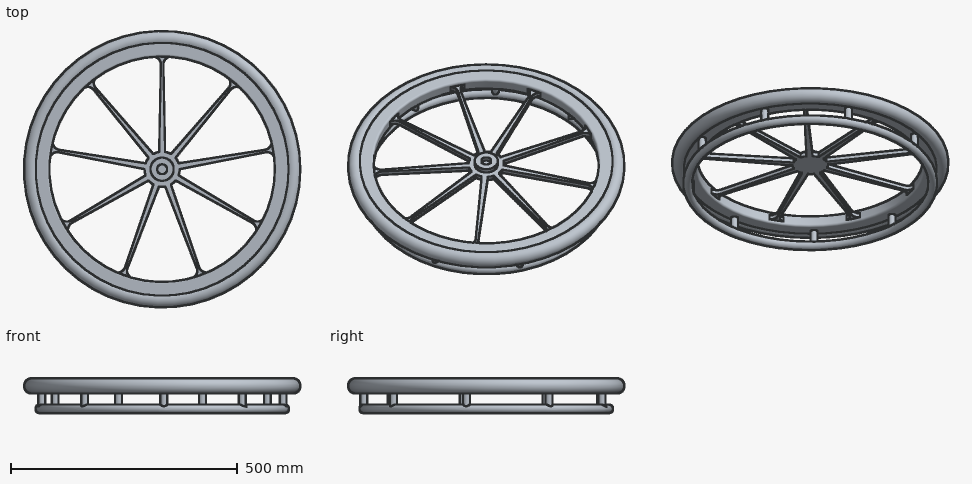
import cadquery as cq
import math

outer_radius = 305.0
tire_section_radius = 17.0
tire_ring_radius = outer_radius - tire_section_radius

rim_edge_radius = 279.0
rim_inner_radius = 248.0
rim_rounding = 5.0
rim_half_height = math.sqrt(tire_section_radius**2 - (tire_ring_radius - rim_edge_radius) ** 2)

plate_radius = 39.0
plate_thickness = 11.0
boss_radius = 25.5
boss_height = 10.5
bore_radius = 11.0

spoke_count = 9
spoke_width_at_hub = 14.0
spoke_width_at_rim = 6.0
flare_radius = 17.0
spoke_root_radius = 30.5
spoke_rim_overlap = 3.0
spoke_angle_step = 360 / spoke_count
first_spoke_angle = 90.0

overall_height = 77.5
push_ring_section_radius = 10.0
push_ring_radius = 270.0
push_ring_z = tire_section_radius - overall_height + push_ring_section_radius
post_radius = 8.0
first_post_angle = -89.2
post_end_rise = 2.0


def torus(ring_radius, section_radius, z):
    solid = cq.Solid.makeTorus(ring_radius, section_radius, cq.Vector(0, 0, z))
    return cq.Workplane("XY").add(solid)


def disc(radius, half_height):
    return cq.Workplane("XY").circle(radius).extrude(half_height, both=True)


def make_rim():
    ring = disc(tire_ring_radius, rim_half_height)
    opening = disc(rim_inner_radius, rim_half_height)
    inner_edges = cq.selectors.RadiusNthSelector(0)
    return ring.cut(opening).edges("%CIRCLE").edges(inner_edges).fillet(rim_rounding)


def make_hub():
    """A round plate with a raised boss; the bore stops at the plate."""
    plate = disc(plate_radius, plate_thickness / 2)
    boss = (
        cq.Workplane("XY", origin=(0, 0, plate_thickness / 2))
        .circle(boss_radius)
        .circle(bore_radius)
        .extrude(boss_height)
    )
    return plate.union(boss)


def make_spoke():
    """One spoke along +X, with a concave round flare on each side at the rim."""
    half_root = spoke_width_at_hub / 2
    half_tip = spoke_width_at_rim / 2
    flare_start = rim_inner_radius - flare_radius
    flare_half_width = half_tip + flare_radius
    flare_sag = flare_radius * (1 - math.sqrt(0.5))
    flare_mid = (rim_inner_radius - flare_sag, half_tip + flare_sag)
    tip = rim_inner_radius + spoke_rim_overlap
    outline = (
        cq.Workplane("XY")
        .moveTo(spoke_root_radius, -half_root)
        .lineTo(flare_start, -half_tip)
        .threePointArc((flare_mid[0], -flare_mid[1]), (rim_inner_radius, -flare_half_width))
        .lineTo(tip, -flare_half_width)
        .lineTo(tip, flare_half_width)
        .lineTo(rim_inner_radius, flare_half_width)
        .threePointArc(flare_mid, (flare_start, half_tip))
        .lineTo(spoke_root_radius, half_root)
        .close()
    )
    return outline.extrude(plate_thickness / 2, both=True)


def make_post():
    """One post standing along Z at +X, from inside the push ring up into the rim."""
    return (
        cq.Workplane("XY", origin=(push_ring_radius, 0, push_ring_z + post_end_rise))
        .circle(post_radius)
        .extrude(-push_ring_z - post_end_rise)
    )


def around_axis(shape, angle):
    return shape.rotate((0, 0, 0), (0, 0, 1), angle)


wheel = torus(tire_ring_radius, tire_section_radius, 0).union(make_rim())
wheel = wheel.union(make_hub())
push_ring = torus(push_ring_radius, push_ring_section_radius, push_ring_z)

spoke = make_spoke()
post = make_post()
for i in range(spoke_count):
    turn = i * spoke_angle_step
    wheel = wheel.union(around_axis(spoke, first_spoke_angle + turn))
    push_ring = push_ring.union(around_axis(post, first_post_angle + turn), clean=False)

result = wheel.union(push_ring, clean=False)